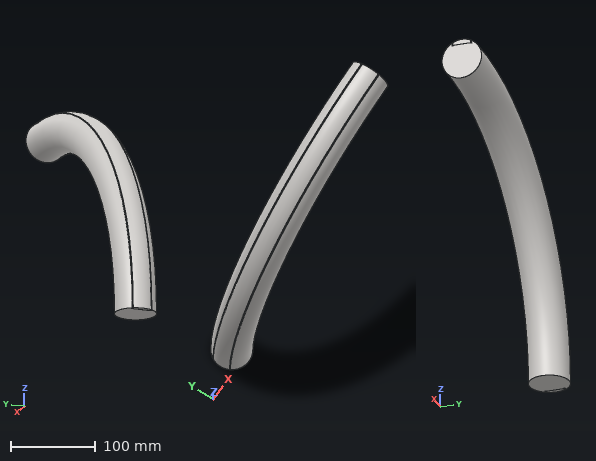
import cadquery as cq
import math


overall_size = 321.0
bar_diameter = 50.0
end_length = 2.0

groove_width = 24.7
groove_depth = 6.5
side_gap = 1.0

bar_radius = bar_diameter / 2
bend_radius = overall_size - bar_radius - end_length
floor_x = groove_depth - bar_radius
strip_width = groove_width - 2 * side_gap


def centreline():
    """Centreline of the bar: straight up, a quarter turn towards +X, then straight out."""
    lower_x = bar_radius
    upper_z = overall_size - bar_radius
    arc_middle = bend_radius * (1 - math.sqrt(0.5))
    return (
        cq.Workplane("XZ")
        .moveTo(lower_x, 0)
        .lineTo(lower_x, end_length)
        .threePointArc(
            (lower_x + arc_middle, upper_z - arc_middle),
            (overall_size - end_length, upper_z),
        )
        .lineTo(overall_size, upper_z)
    )


def sweep_section(width, arc_middle_x):
    """Sweep the part of the round section closed off by a flat-floored step of the given width.

    The outline runs round the bar through (arc_middle_x, 0): the crown side at -bar_radius
    gives what lies in the step, the opposite side at +bar_radius gives what the step leaves.
    """
    half_width = width / 2
    edge_x = -math.sqrt(bar_radius**2 - half_width**2)
    return (
        cq.Workplane("XY", origin=(bar_radius, 0, 0))
        .moveTo(edge_x, -half_width)
        .threePointArc((arc_middle_x, 0), (edge_x, half_width))
        .lineTo(floor_x, half_width)
        .lineTo(floor_x, -half_width)
        .close()
        .sweep(centreline())
    )


def make_bar():
    """Bent bar with the open groove along its outer side."""
    return sweep_section(groove_width, bar_radius)


def make_strip():
    """Cover strip on the groove floor, its top flush with the round of the bar."""
    return sweep_section(strip_width, -bar_radius)


bar = make_bar()
strip = make_strip()

result = cq.Compound.makeCompound([bar.val(), strip.val()])